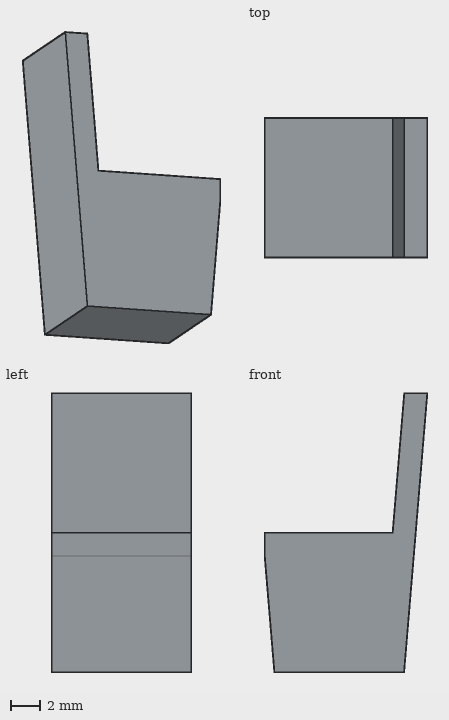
import cadquery as cq

sixteenth = 25.4 / 16
height = 12 * sixteenth
width = 6 * sixteenth
seat_height = 6 * sixteenth
base_back_x = 6 * sixteenth
back_lean = sixteenth
back_thickness = sixteenth
seat_edge_height = sixteenth

lean_slope = back_lean / height
seat_edge_bottom = seat_height - seat_edge_height
base_front_x = seat_edge_bottom * lean_slope

back_top_x = base_back_x + back_lean
backrest_top_x = back_top_x - back_thickness
backrest_foot_x = base_back_x + seat_height * lean_slope - back_thickness


def chair():
    """Side profile of the chair, extruded symmetrically across its width."""
    profile = [
        (base_front_x, 0),
        (base_back_x, 0),
        (back_top_x, height),
        (backrest_top_x, height),
        (backrest_foot_x, seat_height),
        (0, seat_height),
        (0, seat_edge_bottom),
    ]
    return cq.Workplane("XZ").polyline(profile).close().extrude(width / 2, both=True)


result = chair()